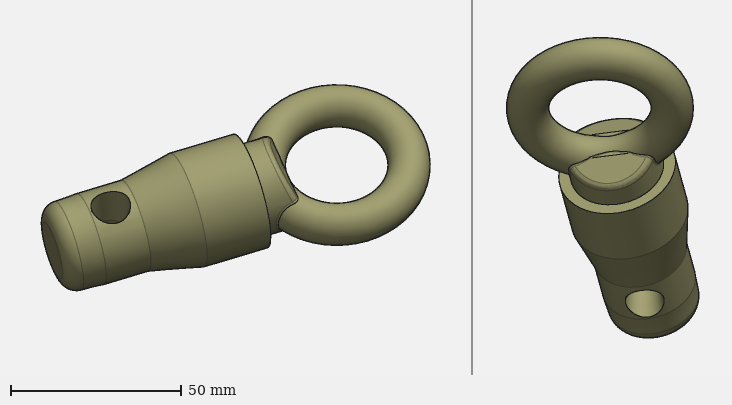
import cadquery as cq
import math

RING_SPAN = 55.0
WIRE_DIAMETER = 12.5
WIRE_RADIUS = WIRE_DIAMETER / 2
RING_RADIUS = (RING_SPAN - WIRE_DIAMETER) / 2
OVERALL_LENGTH = 116.5

SHOULDER_Y = -27.0
COLLAR_END_Y = -47.0
TAPER_END_Y = -63.3
TIP_TAPER_Y = -77.2
TIP_Y = RING_SPAN / 2 - OVERALL_LENGTH

COLLAR_RADIUS = 17.5
SHANK_RADIUS = 14
TIP_RADIUS = 13.4
TIP_FILLET = 5.0

HEAD_TOP_Y = -15.8
HEAD_SLOPE = math.radians(22)
RIDGE_HALF_WIDTH = 4.7
HEAD_FILLET = 2.0
RING_FILLET = 0.9
SOCKET_CLEARANCE = 0.02

HOLE_Y = -70.7
THROAT_RADIUS = 4.5
MOUTH_RADIUS = 5.8


def make_ring(wire_radius):
    return cq.Workplane("XY").add(cq.Solid.makeTorus(RING_RADIUS, wire_radius))


def make_head():
    """Round post cut to a wedge by two sloping flats, with rounded rims."""
    drop = (SHANK_RADIUS - RIDGE_HALF_WIDTH) * math.tan(HEAD_SLOPE)
    post = (
        cq.Workplane("XZ", origin=(0, HEAD_TOP_Y, 0))
        .circle(SHANK_RADIUS)
        .extrude(HEAD_TOP_Y - SHOULDER_Y)
    )
    wedge = (
        cq.Workplane("YZ")
        .moveTo(SHOULDER_Y, -SHANK_RADIUS)
        .lineTo(HEAD_TOP_Y - drop, -SHANK_RADIUS)
        .lineTo(HEAD_TOP_Y, -RIDGE_HALF_WIDTH)
        .lineTo(HEAD_TOP_Y, RIDGE_HALF_WIDTH)
        .lineTo(HEAD_TOP_Y - drop, SHANK_RADIUS)
        .lineTo(SHOULDER_Y, SHANK_RADIUS)
        .close()
        .extrude(SHANK_RADIUS, both=True)
    )
    rims = cq.selectors.BoxSelector(
        (-COLLAR_RADIUS, SHOULDER_Y + HEAD_FILLET, -COLLAR_RADIUS),
        (COLLAR_RADIUS, 0, COLLAR_RADIUS),
    )
    head = post.intersect(wedge)
    return head.edges(rims).edges("not(|X or |Y)").fillet(HEAD_FILLET)


def blend_to_ring(head, ring):
    """Add the concave fillet round the ring, then open the socket for the ring."""
    joined = head.union(ring)
    around_wire = cq.selectors.BoxSelector(
        (-COLLAR_RADIUS, SHOULDER_Y + RING_FILLET, -WIRE_RADIUS),
        (COLLAR_RADIUS, HEAD_TOP_Y + RING_FILLET, WIRE_RADIUS),
    )
    seam = joined.edges(around_wire).edges("not %LINE")
    socket = make_ring(WIRE_RADIUS + SOCKET_CLEARANCE)
    return seam.fillet(RING_FILLET).cut(socket)


def make_shank():
    """Turned collar, taper and rounded tip, bored out where the ring passes."""
    return (
        cq.Workplane("XY")
        .moveTo(0, SHOULDER_Y)
        .lineTo(COLLAR_RADIUS, SHOULDER_Y)
        .lineTo(COLLAR_RADIUS, COLLAR_END_Y)
        .lineTo(SHANK_RADIUS, TAPER_END_Y)
        .lineTo(SHANK_RADIUS, TIP_TAPER_Y)
        .lineTo(TIP_RADIUS, TIP_Y)
        .lineTo(0, TIP_Y)
        .close()
        .revolve(360, (0, 0, 0), (0, 1, 0))
        .faces("<Y")
        .edges()
        .fillet(TIP_FILLET)
        .cut(make_ring(WIRE_RADIUS + SOCKET_CLEARANCE))
    )


def make_cross_hole():
    """Double cone through the shank along Z."""
    return (
        cq.Workplane("XZ", origin=(0, HOLE_Y, 0))
        .moveTo(0, -SHANK_RADIUS)
        .lineTo(MOUTH_RADIUS, -SHANK_RADIUS)
        .lineTo(THROAT_RADIUS, 0)
        .lineTo(MOUTH_RADIUS, SHANK_RADIUS)
        .lineTo(0, SHANK_RADIUS)
        .close()
        .revolve(360, (0, 0, 0), (0, 1, 0))
    )


ring = make_ring(WIRE_RADIUS)
head = blend_to_ring(make_head(), ring)
shank = make_shank().union(head).cut(make_cross_hole())

result = cq.Compound.makeCompound([shank.val(), ring.val()])